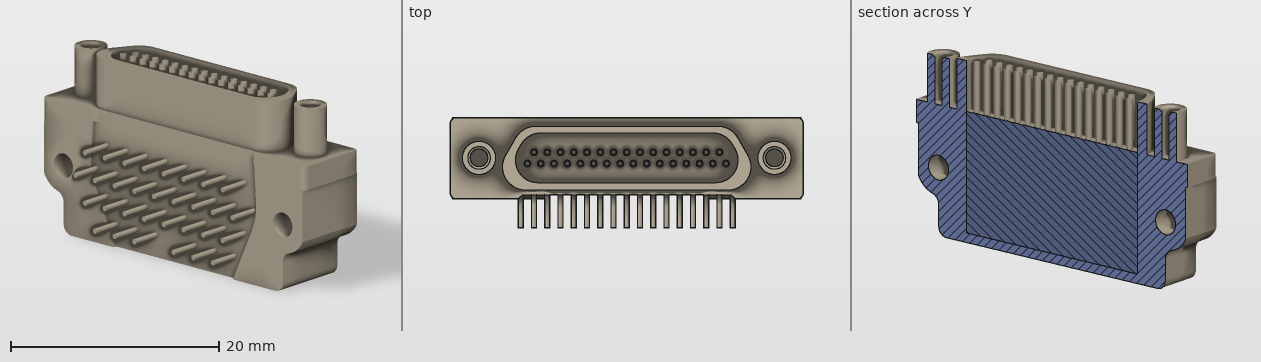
import cadquery as cq
import math


WIDTH = 33.9
DEPTH = 7.8
HEIGHT = 18.28
MID_Y = DEPTH / 2
AXIS_Y = MID_Y + 0.05

FLANGE_TOP = 13.2
FLANGE_HEIGHT = 2.37
FLANGE_BOTTOM = FLANGE_TOP - FLANGE_HEIGHT
FLANGE_CORNER_RADIUS = 0.6

BODY_WIDTH = 33.45
FOOT_RADIUS = 1.02
NECK_RADIUS = 1.02
EAR_RADIUS = 2.8
FASTENER_X = 14.17
MOUNT_HOLE_Z = 6.85
MOUNT_HOLE_DIAMETER = 2.45

POST_DIAMETER = 3.2
POST_TOP = 18.07
BORE_DIAMETER = 1.7
BORE_CHAMFER = 0.25

END_SLANT = math.radians(30)
SHROUD_WIDTH = 23.85
SHROUD_DEPTH = 6.15
SHROUD_RADIUS = 2.25
OPENING_WIDTH = 21.35
OPENING_DEPTH = 4.78
OPENING_RADIUS = 2.17

RECESS_DEPTH = 0.37
RECESS_TOP_WIDTH = 20.75
RECESS_WAIST_WIDTH = 21.55
RECESS_WAIST_Z = 6.85
RECESS_WAIST_RADIUS = 5.75
RECESS_BOTTOM_WIDTH = 15.4
NOTCH_HEIGHT = 1.12
NOTCH_CORNER_RADIUS = 0.7

FRONT_SOCKET_COUNT = 16
REAR_SOCKET_COUNT = 15
FRONT_SOCKET_ROW_LENGTH = 19.05
SOCKET_PITCH = FRONT_SOCKET_ROW_LENGTH / (FRONT_SOCKET_COUNT - 1)
SOCKET_ROW_SPACING = 1.1
SOCKET_DIAMETER = 0.65
SOCKET_BORE_DIAMETER = 0.47
SOCKET_TOP = HEIGHT

TAIL_ROW_COUNTS = (8, 9, 8, 7)
TAIL_PITCH = 2 * SOCKET_PITCH
TAIL_DIAMETER = 0.5
TAIL_LENGTH = 2.78
TOP_TAIL_Z = 9.9

INSERT_BOTTOM = 1.02


def front_plane(y):
    """Workplane parallel to the front face at depth y; extrusions go toward -Y."""
    return cq.Workplane("XZ", origin=(0, y, 0))


def rounded_trapezoid(width, depth, radius, center_y, bottom, top):
    """Upright prism whose section is a trapezoid of corner centres, grown by the corner radius."""
    half_depth = depth / 2 - radius
    front_half = width / 2 - radius
    rear_half = front_half - 2 * half_depth * math.tan(END_SLANT)
    corner_centers = [
        (-front_half, -half_depth),
        (front_half, -half_depth),
        (rear_half, half_depth),
        (-rear_half, half_depth),
    ]
    return (
        cq.Workplane("XY", origin=(0, center_y, bottom))
        .polyline(corner_centers)
        .close()
        .offset2D(radius)
        .extrude(top - bottom)
    )


def opening_prism(bottom, top):
    return rounded_trapezoid(OPENING_WIDTH, OPENING_DEPTH, OPENING_RADIUS, AXIS_Y, bottom, top)


def make_half_body():
    """Lower body for X > 0. The neck arc is tangent to the ear arc and to the foot side."""
    side = BODY_WIDTH / 2
    ear_start_z = MOUNT_HOLE_Z - math.sqrt(EAR_RADIUS**2 - (side - FASTENER_X) ** 2)
    neck_drop = math.sqrt((EAR_RADIUS + NECK_RADIUS) ** 2 - NECK_RADIUS**2)
    neck_center_x = FASTENER_X + NECK_RADIUS
    neck_center_z = MOUNT_HOLE_Z - neck_drop
    tangent_angle = math.atan2(neck_drop, NECK_RADIUS)
    ear_end_x = FASTENER_X + EAR_RADIUS * math.cos(tangent_angle)
    ear_end_z = MOUNT_HOLE_Z - EAR_RADIUS * math.sin(tangent_angle)
    neck_mid_angle = math.pi - tangent_angle / 2
    neck_mid = (
        neck_center_x + NECK_RADIUS * math.cos(neck_mid_angle),
        neck_center_z + NECK_RADIUS * math.sin(neck_mid_angle),
    )
    ear_start_angle = math.acos((side - FASTENER_X) / EAR_RADIUS)
    ear_mid_angle = (tangent_angle + ear_start_angle) / 2
    ear_mid = (
        FASTENER_X + EAR_RADIUS * math.cos(ear_mid_angle),
        MOUNT_HOLE_Z - EAR_RADIUS * math.sin(ear_mid_angle),
    )
    return (
        front_plane(DEPTH)
        .lineTo(FASTENER_X, 0)
        .lineTo(FASTENER_X, neck_center_z)
        .threePointArc(neck_mid, (ear_end_x, ear_end_z))
        .threePointArc(ear_mid, (side, ear_start_z))
        .lineTo(side, FLANGE_BOTTOM)
        .lineTo(0, FLANGE_BOTTOM)
        .close()
        .extrude(DEPTH)
        .edges("|Y and <Z")
        .edges(">X")
        .fillet(FOOT_RADIUS)
    )


def make_flange():
    return (
        cq.Workplane("XY", origin=(0, MID_Y, FLANGE_BOTTOM))
        .rect(WIDTH, DEPTH)
        .extrude(FLANGE_HEIGHT)
        .edges("|Z")
        .fillet(FLANGE_CORNER_RADIUS)
    )


def make_jack_post(x):
    """Tube on the flange with a chamfered mouth and the flange top as its floor."""
    height = POST_TOP - FLANGE_TOP
    return (
        cq.Workplane("XY", origin=(x, AXIS_Y, FLANGE_TOP))
        .circle(POST_DIAMETER / 2)
        .circle(BORE_DIAMETER / 2)
        .extrude(height)
        .faces(">Z")
        .edges(cq.selectors.RadiusNthSelector(0))
        .chamfer(BORE_CHAMFER)
    )


def make_recess():
    """Flared pocket below the notch, open at the bottom of the housing."""
    top = RECESS_TOP_WIDTH / 2
    waist = RECESS_WAIST_WIDTH / 2
    bottom = RECESS_BOTTOM_WIDTH / 2
    notch_bottom = FLANGE_TOP - NOTCH_HEIGHT
    flare = (
        front_plane(RECESS_DEPTH)
        .polyline([
            (-bottom, 0),
            (bottom, 0),
            (waist, RECESS_WAIST_Z),
            (top, FLANGE_TOP),
            (-top, FLANGE_TOP),
            (-waist, RECESS_WAIST_Z),
        ])
        .close()
        .extrude(RECESS_DEPTH)
        .edges("|Y")
        .edges(">X or <X")
        .fillet(RECESS_WAIST_RADIUS)
    )
    below_notch = cq.Workplane("XY").box(WIDTH, DEPTH, notch_bottom, centered=(True, True, False))
    return flare.intersect(below_notch)


def make_notch():
    """Round-cornered slot through the top edge; the front face cuts its corner arcs short."""
    radius = NOTCH_CORNER_RADIUS
    arc_reach = math.sqrt(radius**2 - (radius - RECESS_DEPTH) ** 2)
    full_width = RECESS_TOP_WIDTH + 2 * (radius - arc_reach)
    full_depth = 2 * radius
    return (
        cq.Workplane("XY", origin=(0, RECESS_DEPTH - full_depth / 2, FLANGE_TOP))
        .rect(full_width, full_depth)
        .extrude(-NOTCH_HEIGHT)
        .edges("|Z and >Y")
        .fillet(radius)
    )


def tail_positions():
    positions = []
    for row, count in enumerate(TAIL_ROW_COUNTS):
        z = TOP_TAIL_Z - row * TAIL_PITCH
        is_last_row = row == len(TAIL_ROW_COUNTS) - 1
        for place in range(count):
            x = (place - (count - 1) / 2) * TAIL_PITCH
            if not (is_last_row and x == 0):
                positions.append((x, z))
    return positions


def make_tails():
    """Round pins from the middle of the insert to their tips in front of the housing."""
    return (
        front_plane(AXIS_Y)
        .pushPoints(tail_positions())
        .circle(TAIL_DIAMETER / 2)
        .extrude(AXIS_Y + TAIL_LENGTH)
    )


def make_socket_row(count, y):
    return (
        cq.Workplane("XY", origin=(0, y, FLANGE_TOP))
        .rarray(SOCKET_PITCH, 0.35, count, 1)
        .circle(SOCKET_DIAMETER / 2)
        .circle(SOCKET_BORE_DIAMETER / 2)
        .extrude(SOCKET_TOP - FLANGE_TOP)
    )


def make_contact_insert():
    front_row = make_socket_row(FRONT_SOCKET_COUNT, AXIS_Y - SOCKET_ROW_SPACING / 2)
    rear_row = make_socket_row(REAR_SOCKET_COUNT, AXIS_Y + SOCKET_ROW_SPACING / 2)
    block = opening_prism(INSERT_BOTTOM, FLANGE_TOP)
    return block.union(make_tails()).union(front_row).union(rear_row)


def make_housing():
    half_body = make_half_body()
    body = half_body.union(half_body.mirror("YZ")).union(make_flange())
    shroud = rounded_trapezoid(
        SHROUD_WIDTH, SHROUD_DEPTH, SHROUD_RADIUS, MID_Y, FLANGE_TOP, HEIGHT
    )
    body = body.union(shroud)
    for x in (-FASTENER_X, FASTENER_X):
        mount_hole = (
            front_plane(DEPTH)
            .center(x, MOUNT_HOLE_Z)
            .circle(MOUNT_HOLE_DIAMETER / 2)
            .extrude(DEPTH)
        )
        body = body.union(make_jack_post(x)).cut(mount_hole)
    body = body.cut(make_recess()).cut(make_notch())
    return body.cut(opening_prism(INSERT_BOTTOM, HEIGHT)).cut(make_tails())


housing = make_housing()
contact_insert = make_contact_insert()

result = cq.Compound.makeCompound([housing.solids().val(), contact_insert.solids().val()])